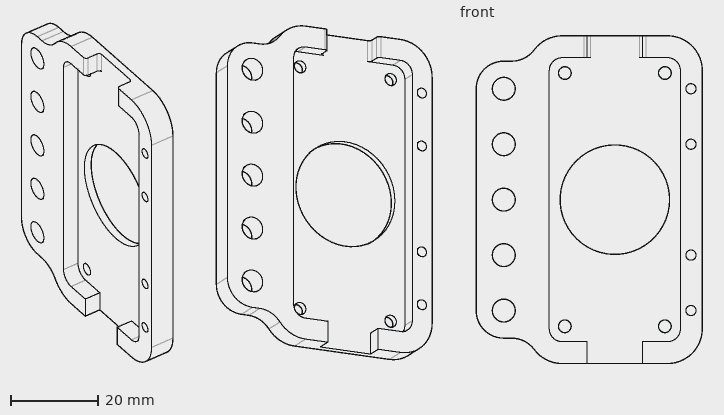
import cadquery as cq
import math

height = 75.15
width = 51.85
thickness = 6.0
corner_radius = 8.05
right_edge = 20.1
left_edge = right_edge - width
top_edge = height / 2

hole_pitch = 12.7
tab_hole_count = 5
tab_hole_diameter = 5.2
tab_radius = hole_pitch / 2
tab_top = (tab_hole_count - 1) / 2 * hole_pitch + tab_radius
tab_hole_x = left_edge + tab_radius
shoulder_x = -12.0

floor_thickness = 1.95
pocket_depth = thickness - floor_thickness
pocket_width = 30.1
pocket_height = 65.1
pocket_radius = 3.0
notch_width = hole_pitch
notch_fillet = 0.75
bore_diameter = 25.0

screw_hole_diameter = 2.85
screw_spacing_x = 22.9
screw_spacing_z = 58.0
pin_hole_diameter = 2.3
pin_hole_x = 17.4
pin_hole_depth = pocket_depth


def front_plane():
    """Sketch plane on the front face: local x is X, local y is Z, extrude runs toward -Y."""
    return cq.Workplane("XZ")


def make_plate():
    """Plate outline; each shoulder is two tangent arcs between the tab and the plate."""
    shoulder_z = top_edge - corner_radius
    hollow_z = tab_top + tab_radius
    arc_distance = corner_radius + tab_radius
    hollow_x = shoulder_x - math.sqrt(arc_distance**2 - (hollow_z - shoulder_z) ** 2)
    share = corner_radius / arc_distance
    meet_x = shoulder_x + share * (hollow_x - shoulder_x)
    meet_z = shoulder_z + share * (hollow_z - shoulder_z)
    outline = (
        front_plane()
        .moveTo(left_edge, 0)
        .lineTo(left_edge, tab_top - tab_radius)
        .radiusArc((left_edge + tab_radius, tab_top), tab_radius)
        .lineTo(hollow_x, tab_top)
        .radiusArc((meet_x, meet_z), -tab_radius)
        .radiusArc((shoulder_x, top_edge), corner_radius)
        .lineTo(right_edge - corner_radius, top_edge)
        .radiusArc((right_edge, top_edge - corner_radius), corner_radius)
        .lineTo(right_edge, 0)
        .close()
    )
    upper_half = outline.extrude(-thickness)
    return upper_half.union(upper_half.mirror("XY")).clean()


def make_pocket():
    pocket = front_plane().rect(pocket_width, pocket_height).extrude(-pocket_depth)
    return pocket.edges("|Y").fillet(pocket_radius)


def make_bottom_notch():
    """Square-edged notch through the bottom wall."""
    return cq.Workplane("XY").box(
        notch_width, pocket_depth, top_edge, centered=(True, False, False)
    ).translate((0, 0, -top_edge))


def make_top_notch():
    """Notch through the top wall, rounded at the front edges and at the floor."""
    half = notch_width / 2
    profile = (
        cq.Workplane("XY")
        .moveTo(-half - notch_fillet, 0)
        .radiusArc((-half, notch_fillet), -notch_fillet)
        .lineTo(-half, pocket_depth - notch_fillet)
        .radiusArc((-half + notch_fillet, pocket_depth), notch_fillet)
        .lineTo(half - notch_fillet, pocket_depth)
        .radiusArc((half, pocket_depth - notch_fillet), notch_fillet)
        .lineTo(half, notch_fillet)
        .radiusArc((half + notch_fillet, 0), -notch_fillet)
        .close()
    )
    return profile.extrude(top_edge)


def make_holes(points, diameter, depth):
    return front_plane().pushPoints(points).circle(diameter / 2).extrude(-depth)


tab_holes = [(tab_hole_x, (i - (tab_hole_count - 1) / 2) * hole_pitch) for i in range(tab_hole_count)]
pin_holes = [(pin_hole_x, step * hole_pitch) for step in (-2, -1, 1, 2)]
screw_holes = [
    (side * screw_spacing_x / 2, end * screw_spacing_z / 2) for side in (-1, 1) for end in (-1, 1)
]

result = (
    make_plate()
    .cut(make_pocket())
    .cut(make_bottom_notch())
    .cut(make_top_notch())
    .cut(make_holes([(0, 0)], bore_diameter, thickness))
    .cut(make_holes(tab_holes, tab_hole_diameter, thickness))
    .cut(make_holes(screw_holes, screw_hole_diameter, thickness))
    .cut(make_holes(pin_holes, pin_hole_diameter, pin_hole_depth))
)